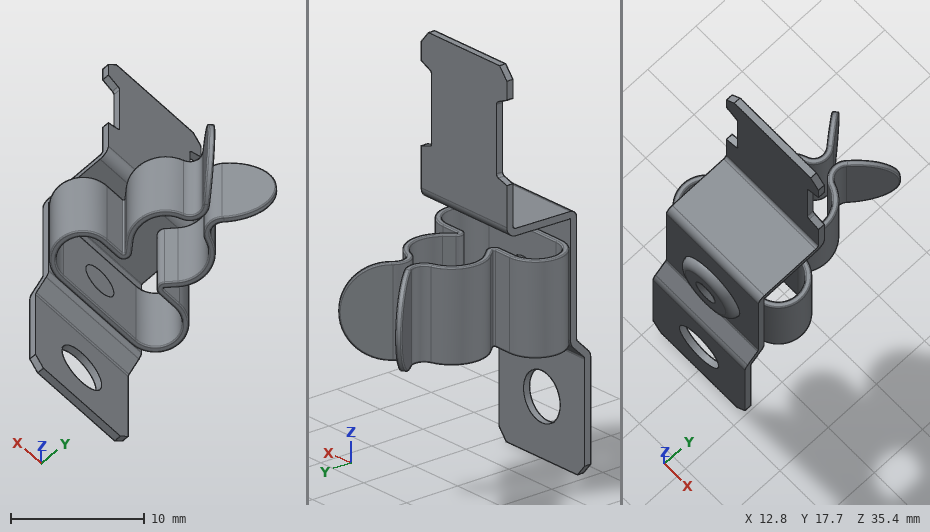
import cadquery as cq
import math


bracket_width = 10.0
bracket_height = 35.4
bracket_thickness = 0.6
foot_front_y = -2.0
tab_back_y = 6.23
jog_top_z = 11.33
shelf_front_z = 21.8
shelf_rise = 0.1
sharp_bend_inner_radius = 0.05
bend_inner_radius = 0.3
corner_chamfer_x = 0.85
corner_chamfer_z = 1.0
screw_hole_diameter = 4.25
screw_hole_z = 5.03

notch_depth = 1.2
notch_mouth_bottom_z = 25.9
notch_floor_bottom_z = 26.25
notch_floor_top_z = 32.32
notch_mouth_top_z = 32.85
notch_fillet = 0.3

clip_height = 7.93
clip_thickness = 0.5
clip_edge_fillet = 0.1
clip_width = 12.8
clip_center_z = 15.5
clip_tip_y = 15.7
lobe_outer_radius = 2.5
neck_bend_inner_radius = 0.1
jaw_outer_radius = 2.97
jaw_half_width = 3.5
jaw_center_y = 7.9
jaw_end_angle = math.radians(40)
throat_gap = 0.67
throat_inner_radius = 1.0
flare_angle = math.radians(40)

rivet_head_diameter = 5.95
rivet_head_height = 0.7
rivet_flat_diameter = 4.4
rivet_shank_diameter = 3.0
rivet_dimple_diameter = 2.1
rivet_dimple_depth = 0.53


def unit(start, end):
    """Unit direction from start to end."""
    length = math.dist(start, end)
    return (end[0] - start[0]) / length, (end[1] - start[1]) / length


def bent_line(plane, corners, radii):
    """Polyline through the corners, each inner corner rounded with its own radius."""
    path = cq.Workplane(plane).moveTo(*corners[0])
    for before, corner, after, radius in zip(corners, corners[1:], corners[2:], radii):
        back = unit(corner, before)
        ahead = unit(corner, after)
        half_angle = math.acos(back[0] * ahead[0] + back[1] * ahead[1]) / 2
        trim = radius / math.tan(half_angle)
        path = path.lineTo(corner[0] + trim * back[0], corner[1] + trim * back[1])
        arc_end = (corner[0] + trim * ahead[0], corner[1] + trim * ahead[1])
        path = path.tangentArcPoint(arc_end, relative=False)
    return path.lineTo(*corners[-1])


def on_circle(center, radius, angle):
    return center[0] + radius * math.cos(angle), center[1] + radius * math.sin(angle)


def y_cylinder(diameter, z, y_start, y_end):
    """Cylinder along Y on x = 0."""
    circle = cq.Workplane("XZ", origin=(0, y_start, z)).circle(diameter / 2)
    return circle.extrude(y_start - y_end)


def make_bracket():
    half_thickness = bracket_thickness / 2
    foot_y = foot_front_y + half_thickness
    seat_y = -half_thickness
    tab_y = tab_back_y - half_thickness
    corners = [
        (foot_y, 0),
        (foot_y, jog_top_z - (seat_y - foot_y)),
        (seat_y, jog_top_z),
        (seat_y, shelf_front_z),
        (tab_y, shelf_front_z + shelf_rise),
        (tab_y, bracket_height),
    ]
    bend = bend_inner_radius + half_thickness
    sharp_bend = sharp_bend_inner_radius + half_thickness
    path = bent_line("YZ", corners, [bend, bend, sharp_bend, bend])
    strip = cq.Workplane("XY", origin=(0, foot_y, 0)).rect(bracket_width, bracket_thickness).sweep(path)

    strip = strip.intersect(make_bracket_outline())
    screw_hole = y_cylinder(screw_hole_diameter, screw_hole_z, foot_front_y, 0)
    rivet_hole = y_cylinder(rivet_shank_diameter, clip_center_z, -bracket_thickness, 0)
    return strip.cut(screw_hole).cut(rivet_hole)


def make_bracket_outline():
    """Front outline of the bracket, through its whole depth."""
    edge_x = bracket_width / 2
    floor_x = edge_x - notch_depth
    right_side = [
        (edge_x - corner_chamfer_x, 0),
        (edge_x, corner_chamfer_z),
        (edge_x, notch_mouth_bottom_z),
        (floor_x, notch_floor_bottom_z),
        (floor_x, notch_floor_top_z),
        (edge_x, notch_mouth_top_z),
        (edge_x, bracket_height - corner_chamfer_z),
        (edge_x - corner_chamfer_x, bracket_height),
    ]
    left_side = [(-x, z) for x, z in reversed(right_side)]
    outline = cq.Workplane("XZ", origin=(0, tab_back_y, 0)).polyline(right_side + left_side).close()
    block = outline.extrude(tab_back_y - foot_front_y)
    notch_corners = cq.selectors.BoxSelector(
        (-floor_x - notch_depth / 2, foot_front_y, notch_floor_bottom_z - notch_fillet),
        (floor_x + notch_depth / 2, tab_back_y, notch_floor_top_z + notch_fillet),
    )
    return block.edges("|Y").edges(notch_corners).fillet(notch_fillet)


def make_clip():
    half = make_clip_half()
    clip = half.union(half.mirror("YZ"))

    seat_top_edges = cq.selectors.BoxSelector(
        (-clip_thickness, -clip_thickness, clip_center_z),
        (clip_thickness, 2 * clip_thickness, clip_center_z + clip_height),
    )
    clip = clip.edges("|X").edges(seat_top_edges).fillet(clip_edge_fillet)
    return clip.cut(y_cylinder(rivet_shank_diameter, clip_center_z, 0, clip_thickness))


def make_clip_half():
    """The -X half of the clip: seat, side lobe, neck, jaw, throat and flared end."""
    half_thickness = clip_thickness / 2

    lobe_radius = lobe_outer_radius - half_thickness
    neck_radius = neck_bend_inner_radius + half_thickness
    jaw_radius = jaw_outer_radius - half_thickness
    throat_radius = throat_inner_radius + half_thickness
    lobe_center = (lobe_outer_radius - clip_width / 2, lobe_outer_radius)
    jaw_center = (jaw_outer_radius - jaw_half_width, jaw_center_y)
    throat_x = -throat_gap / 2 - half_thickness - throat_radius
    throat_rise = math.sqrt((jaw_radius + throat_radius) ** 2 - (throat_x - jaw_center[0]) ** 2)
    throat_center = (throat_x, jaw_center_y + throat_rise)

    lobe_top_y = lobe_center[1] + lobe_radius
    jaw_start = on_circle(jaw_center, jaw_radius, math.pi + jaw_end_angle)
    neck_slope = math.tan(jaw_end_angle)
    neck_corner = (jaw_start[0] + (jaw_start[1] - lobe_top_y) * neck_slope, lobe_top_y)
    neck_trim = neck_radius / math.tan((math.pi / 2 - jaw_end_angle) / 2)
    neck_start = (neck_corner[0] - neck_trim, lobe_top_y)
    neck_end = (
        neck_corner[0] - neck_trim * math.sin(jaw_end_angle),
        lobe_top_y + neck_trim * math.cos(jaw_end_angle),
    )

    throat_direction = unit(jaw_center, throat_center)
    jaw_end = (
        jaw_center[0] + jaw_radius * throat_direction[0],
        jaw_center[1] + jaw_radius * throat_direction[1],
    )
    flare_start = on_circle(throat_center, throat_radius, flare_angle)

    path = (
        cq.Workplane("XY", origin=(0, 0, clip_center_z))
        .moveTo(0, half_thickness)
        .lineTo(lobe_center[0], half_thickness)
        .threePointArc((lobe_center[0] - lobe_radius, lobe_center[1]), (lobe_center[0], lobe_top_y))
        .lineTo(*neck_start)
        .tangentArcPoint(neck_end, relative=False)
        .lineTo(*jaw_start)
        .threePointArc((jaw_center[0] - jaw_radius, jaw_center_y), jaw_end)
        .threePointArc((throat_center[0] + throat_radius, throat_center[1]), flare_start)
    )
    seat_section = cq.Workplane("YZ", origin=(0, half_thickness, clip_center_z))
    strip = seat_section.rect(clip_thickness, clip_height).sweep(path)
    return strip.union(make_flare(flare_start))


def make_flare(start):
    """Flat flared end with a semicircular tip, beginning at start on the mid-surface."""
    tip_y = clip_tip_y - clip_thickness / 2 * math.sin(flare_angle)
    length = (tip_y - start[1]) / math.cos(flare_angle)
    tip_radius = clip_height / 2
    plane = cq.Plane(
        origin=(start[0], start[1], clip_center_z),
        xDir=(-math.sin(flare_angle), math.cos(flare_angle), 0),
        normal=(math.cos(flare_angle), math.sin(flare_angle), 0),
    )
    outline = (
        cq.Workplane(plane)
        .moveTo(0, -tip_radius)
        .lineTo(length - tip_radius, -tip_radius)
        .threePointArc((length, 0), (length - tip_radius, tip_radius))
        .lineTo(0, tip_radius)
        .close()
    )
    return outline.extrude(clip_thickness / 2, both=True)


def make_rivet():
    """Round-edged head on the bracket, with a conical dimple; shank flush inside the clip."""
    head_front_y = -bracket_thickness - rivet_head_height
    profile = (
        cq.Workplane("XY", origin=(0, 0, clip_center_z))
        .moveTo(0, head_front_y)
        .lineTo(rivet_flat_diameter / 2, head_front_y)
        .tangentArcPoint((rivet_head_diameter / 2, -bracket_thickness), relative=False)
        .lineTo(rivet_shank_diameter / 2, -bracket_thickness)
        .lineTo(rivet_shank_diameter / 2, clip_thickness)
        .lineTo(0, clip_thickness)
        .close()
    )
    body = profile.revolve(360, (0, 0, 0), (0, 1, 0))
    dimple = cq.Solid.makeCone(
        rivet_dimple_diameter / 2,
        0,
        rivet_dimple_depth,
        pnt=cq.Vector(0, head_front_y, clip_center_z),
        dir=cq.Vector(0, 1, 0),
    )
    return body.cut(cq.Workplane(dimple))


bracket = make_bracket()
clip = make_clip()
rivet = make_rivet()

result = cq.Compound.makeCompound([bracket.val(), clip.val(), rivet.val()])